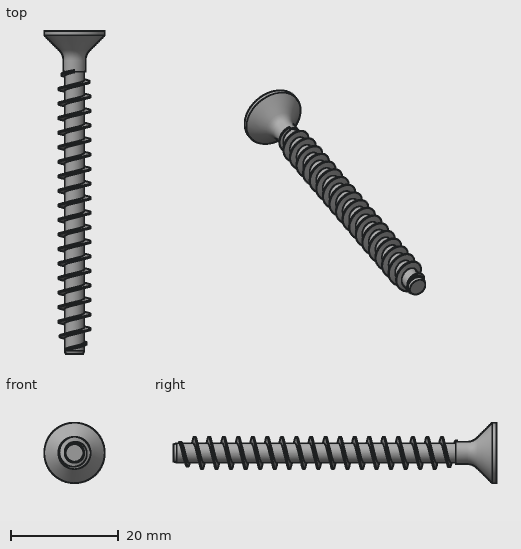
import cadquery as cq
import math

length = 60.0
head_radius = 5.65
rim_thickness = 0.85
neck_radius = 2.1
neck_end = 7.55
core_diameter = 3.65
core_radius = core_diameter / 2

cone_angle = math.radians(45)
blend_radius = 2.5

tip_radius = 1.6
tip_taper = 0.6

pitch = 2.7
thread_radius = 3.0
crest_width = 0.25
root_width = 0.7
root_overlap = 0.2
ridge_depth = 10.15
thread_start = ridge_depth - pitch
start_angle = math.pi / 2
lead_in_radius = 2.35
fade_start = 56.1
fade_end = 59.5
fade_radius = 1.8
points_per_edge = 12


def make_body():
    """Head, neck and core, turned about local Z with the head face at zero."""
    blend_rise = blend_radius * (1 - math.cos(cone_angle))
    blend_length = blend_radius * math.sin(cone_angle)
    cone_end_radius = neck_radius + blend_rise
    cone_end = rim_thickness + (head_radius - cone_end_radius) / math.tan(cone_angle)
    blend_mid = (
        neck_radius + blend_radius * (1 - math.cos(cone_angle / 2)),
        cone_end + blend_length - blend_radius * math.sin(cone_angle / 2),
    )
    profile = (
        cq.Workplane("XZ")
        .moveTo(0, 0)
        .lineTo(head_radius, 0)
        .lineTo(head_radius, rim_thickness)
        .lineTo(cone_end_radius, cone_end)
        .threePointArc(blend_mid, (neck_radius, cone_end + blend_length))
        .lineTo(neck_radius, neck_end)
        .lineTo(core_radius, neck_end)
        .lineTo(core_radius, length - tip_taper)
        .lineTo(tip_radius, length)
        .lineTo(0, length)
        .close()
    )
    return profile.revolve(360, (0, 0, 0), (0, 1, 0))


def crest_radius(depth):
    """Radius of the thread crest, which rises at the neck and fades out near the tip."""
    if depth < ridge_depth:
        rise = (depth - neck_end) / (ridge_depth - neck_end)
        return lead_in_radius + rise * (thread_radius - lead_in_radius)
    if depth > fade_start:
        drop = (depth - fade_start) / (fade_end - fade_start)
        return thread_radius - drop * (thread_radius - fade_radius)
    return thread_radius


def root_radius(_depth):
    """Radius of the ridge foot, sunk into the core along the whole thread."""
    return core_radius - root_overlap


def helix_edge(radius_at, offset, first_turn, last_turn):
    """Helical edge whose radius follows the depth, shifted along the axis by offset."""
    points = []
    for step in range(points_per_edge + 1):
        turn = first_turn + (last_turn - first_turn) * step / points_per_edge
        depth = thread_start + turn * pitch
        angle = start_angle + 2 * math.pi * turn
        radius = radius_at(depth)
        points.append(cq.Vector(radius * math.cos(angle), radius * math.sin(angle), depth + offset))
    return cq.Edge.makeSpline(points)


def make_end_cap(corners):
    """Flat face across one end of the ridge."""
    return cq.Face.makeFromWires(cq.Wire.makePolygon(corners, close=True))


def make_thread():
    """Helical ridge of trapezoidal section, closed by strips about one turn long and two end caps."""
    section = [
        (root_radius, -root_width / 2),
        (crest_radius, -crest_width / 2),
        (crest_radius, crest_width / 2),
        (root_radius, root_width / 2),
    ]
    turns = (fade_end - thread_start) / pitch
    count = math.ceil(turns)
    pieces = []
    for i in range(count):
        span = (turns * i / count, turns * (i + 1) / count)
        pieces.append([helix_edge(radius_at, offset, *span) for radius_at, offset in section])

    faces = [make_end_cap([edge.startPoint() for edge in pieces[0]])]
    for edges in pieces:
        faces += [cq.Face.makeRuledSurface(edges[k - 1], edges[k]) for k in range(len(edges))]
    faces.append(make_end_cap([edge.endPoint() for edge in pieces[-1]]))
    return cq.Workplane(cq.Solid.makeSolid(cq.Shell.makeShell(faces)))


screw = make_body().union(make_thread())
result = screw.rotate((0, 0, 0), (1, 0, 0), 90)